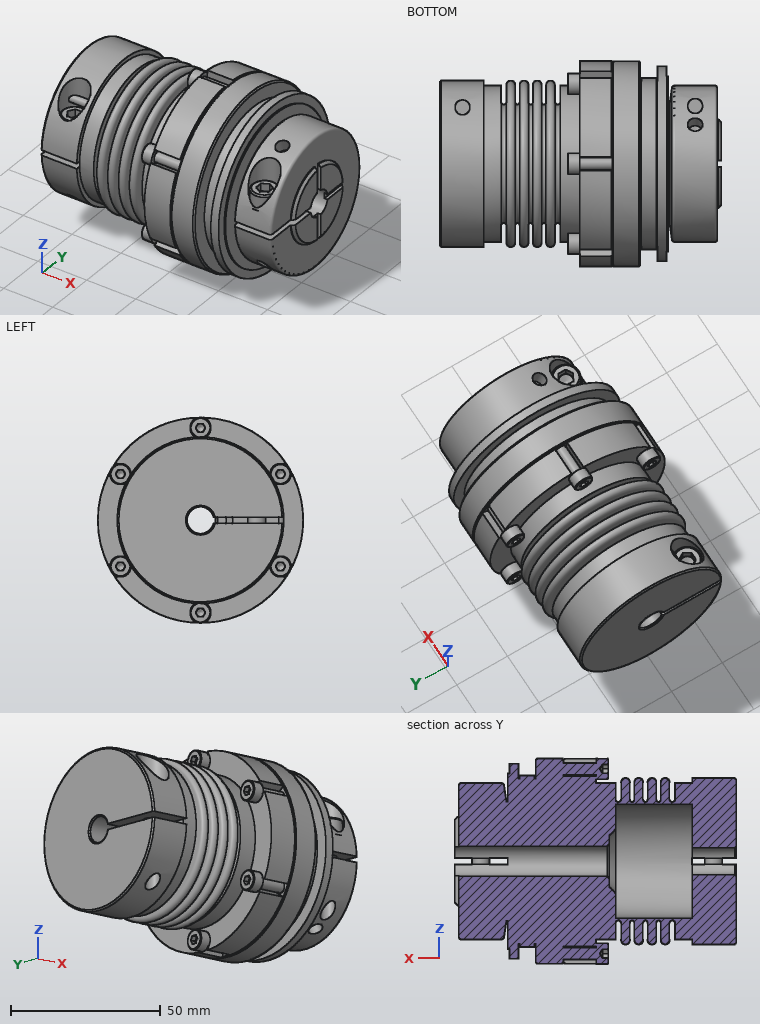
import cadquery as cq
import math


LENGTH = 94.5

LEFT_HUB_DIA = 55.9
LEFT_HUB_END = 14.8
LEFT_HUB_CHAMFER = 0.6
COLLAR_DIA = 52.6
LEFT_COLLAR_END = 20.6

CREST_COUNT = 4
CREST_PITCH = 4.4
CREST_WIDTH = 3.0
CREST_DIA = LEFT_HUB_DIA
ROOT_DIA = 39.9
BELLOWS_END = 40.4
BELLOWS_MIDDLE = (LEFT_COLLAR_END + BELLOWS_END) / 2

CLAMP_RING_START = 47.1
SEAM_START = 57.9
SEAM_WIDTH = 0.4
SEAM_DEPTH = 0.5
DISC_DIA = 69
DISC_END = 67.4
DISC_CHAMFER = 0.6
RING_CHAMFER = 0.4
SPACER_DIA = 57.6
SPACER_START = 67.7
SPACER_END = 72.7
GROOVE_DIA = 55.5
PLATE_DIA = 65.6
PLATE_START = 73.05
PLATE_END = 76.2
STEP_DIA = 59.0
STEP_END = 76.7

NECK_DIA = 40.3
NECK_END = 77.1
CONE_DIA = 50.65
RIGHT_HUB_DIA = COLLAR_DIA
RIGHT_HUB_START = 77.9
RIGHT_HUB_END = 93.2
RIGHT_HUB_ROUND = 1.0
BOSS_DIA = 30.0
BOSS_CHAMFER = 1.0

BORE_DIA = 10.0
LEFT_BORE_DIA = 9.0
LEFT_BORE_CHAMFER = 0.5
CAVITY_DIA = 38.2
RECESS_DIA = 21.5
RECESS_FLOOR_DIA = 17.2
BORE_CHAMFER = 0.8
SLIT_WIDTH = 2.1

RING_SCREW_COUNT = 6
RING_SCREW_CIRCLE = 62.0
RING_SHANK_DIA = 4.0
RING_HEAD_DIA = 7.0
RING_HEAD_HEIGHT = 4.2
RING_HEAD_CHAMFER = 0.3
RING_SOCKET_CORNERS = 3.3
RING_SOCKET_DEPTH = 2.0
RING_SLOT_WIDTH = 4.7

HUB_SCREW_HEAD_DIA = 10.0
HUB_SCREW_HEAD_HEIGHT = 6.0
HUB_SCREW_SHANK_DIA = 6.0
HUB_SCREW_TIP = -9.45
HUB_HEAD_CHAMFER = 0.6
HUB_SOCKET_FLATS = 5.0
HUB_SOCKET_DEPTH = 3.0
COUNTERBORE_DIA = 11.0
THREAD_HOLE_DIA = 5.0
LEFT_SCREW = (7.7, -18.9)
LEFT_HEAD_TOP = 13.4
LEFT_SCREW_TURN = 0
RIGHT_SCREW = (85.7, -19.4)
RIGHT_HEAD_TOP = 13.6
RIGHT_SCREW_TURN = 90

PIN_DIA = 3.0
PIN_Y = -14.4
PIN_Z = 15.8

RADIAL_HOLE_DIA = 5.0
RADIAL_HOLE_DEPTH = 5.2
RADIAL_HOLE_ANGLES = (70, -60)
DRILL_POINT_ANGLE = 118


def drill_point_height(diameter):
    return diameter / 2 / math.tan(math.radians(DRILL_POINT_ANGLE / 2))


def drilled_bar(diameter, depth):
    """Round cutter along -Z from the origin, with a drill point at its end."""
    tip = depth + drill_point_height(diameter)
    outline = cq.Workplane("XZ").lineTo(diameter / 2, 0).lineTo(diameter / 2, -depth).lineTo(0, -tip).close()
    return outline.revolve(360, (0, 0, 0), (0, 1, 0))


def hex_socket(corner_dia, depth):
    """Hexagonal cutter along -Z from the origin, with a conical floor."""
    flats = corner_dia * math.cos(math.pi / 6)
    hexagon = cq.Workplane("XY").polygon(6, corner_dia).extrude(-depth)
    return hexagon.union(drilled_bar(flats, depth))


def cap_screw_head(diameter, height, chamfer, socket_corners, socket_depth):
    """Socket head standing below the origin, with its top at Z = 0."""
    head = cq.Workplane("XY").circle(diameter / 2).extrude(-height).faces(">Z").chamfer(chamfer)
    return head.cut(hex_socket(socket_corners, socket_depth))


def x_cylinder(start, end, diameter):
    return cq.Workplane("YZ", origin=(start, 0, 0)).circle(diameter / 2).extrude(end - start)


def left_hub():
    hub = x_cylinder(0, LEFT_HUB_END, LEFT_HUB_DIA).faces("<X").chamfer(LEFT_HUB_CHAMFER)
    return hub.union(x_cylinder(LEFT_HUB_END, LEFT_COLLAR_END, COLLAR_DIA))


def bellows():
    """Rounded crests joined by rounded roots."""
    crest_radius = CREST_WIDTH / 2
    root_radius = (CREST_PITCH - CREST_WIDTH) / 2
    crest_top = CREST_DIA / 2
    crest_side = crest_top - crest_radius
    root_bottom = ROOT_DIA / 2
    root_side = root_bottom + root_radius
    first_crest = BELLOWS_MIDDLE - CREST_PITCH * (CREST_COUNT - 1) / 2

    outline = cq.Workplane("XY").moveTo(LEFT_COLLAR_END, 0).lineTo(LEFT_COLLAR_END, root_side)
    root_start = LEFT_COLLAR_END
    for index in range(CREST_COUNT):
        crest = first_crest + index * CREST_PITCH
        left = crest - crest_radius
        right = crest + crest_radius
        root_middle = (root_start + left) / 2
        outline = outline.threePointArc((root_middle, root_bottom), (left, root_side))
        outline = outline.lineTo(left, crest_side)
        outline = outline.threePointArc((crest, crest_top), (right, crest_side)).lineTo(right, root_side)
        root_start = right
    root_middle = (root_start + BELLOWS_END) / 2
    outline = outline.threePointArc((root_middle, root_bottom), (BELLOWS_END, root_side))
    return outline.lineTo(BELLOWS_END, 0).close().revolve(360, (0, 0, 0), (1, 0, 0))


def flange_stack():
    seam_end = SEAM_START + SEAM_WIDTH
    stack = x_cylinder(BELLOWS_END, CLAMP_RING_START, COLLAR_DIA)
    stack = stack.union(x_cylinder(CLAMP_RING_START, SEAM_START, DISC_DIA).faces(">X").chamfer(RING_CHAMFER))
    stack = stack.union(x_cylinder(SEAM_START, seam_end, DISC_DIA - 2 * SEAM_DEPTH))
    stack = stack.union(x_cylinder(seam_end, DISC_END, DISC_DIA).faces(">X").chamfer(DISC_CHAMFER))
    stack = stack.union(x_cylinder(DISC_END, PLATE_START, GROOVE_DIA))
    stack = stack.union(x_cylinder(SPACER_START, SPACER_END, SPACER_DIA))
    stack = stack.union(x_cylinder(PLATE_START, PLATE_END, PLATE_DIA))
    return stack.union(x_cylinder(PLATE_END, STEP_END, STEP_DIA))


def right_hub():
    hub = x_cylinder(RIGHT_HUB_START, RIGHT_HUB_END, RIGHT_HUB_DIA).edges().fillet(RIGHT_HUB_ROUND)
    cone = (
        cq.Workplane("XY").moveTo(STEP_END, 0).lineTo(STEP_END, NECK_DIA / 2).lineTo(NECK_END, NECK_DIA / 2)
        .lineTo(RIGHT_HUB_START, CONE_DIA / 2).lineTo(RIGHT_HUB_START, 0).close()
        .revolve(360, (0, 0, 0), (1, 0, 0))
    )
    boss = x_cylinder(RIGHT_HUB_END, LENGTH, BOSS_DIA).faces(">X").chamfer(BOSS_CHAMFER)
    return hub.union(cone).union(boss)


def inner_space():
    """Bores through everything, the cavity inside the bellows and the tapered recess behind it."""
    recess_floor = BELLOWS_END + (RECESS_DIA - RECESS_FLOOR_DIA) / 2
    bore_radius = BORE_DIA / 2
    left_radius = LEFT_BORE_DIA / 2
    outline = (
        cq.Workplane("XY").lineTo(0, left_radius + LEFT_BORE_CHAMFER)
        .lineTo(LEFT_BORE_CHAMFER, left_radius).lineTo(LEFT_HUB_END, left_radius)
        .lineTo(LEFT_HUB_END, CAVITY_DIA / 2).lineTo(BELLOWS_END, CAVITY_DIA / 2)
        .lineTo(BELLOWS_END, RECESS_DIA / 2).lineTo(recess_floor, RECESS_FLOOR_DIA / 2)
        .lineTo(recess_floor, bore_radius + BORE_CHAMFER).lineTo(recess_floor + BORE_CHAMFER, bore_radius)
        .lineTo(LENGTH, bore_radius).lineTo(LENGTH, 0).close()
    )
    return outline.revolve(360, (0, 0, 0), (1, 0, 0))


def slit(start, end):
    """Clamping slit from the bore out through the -Y side."""
    return cq.Workplane("XY").box(
        end - start, DISC_DIA / 2, SLIT_WIDTH, centered=(False, False, True)
    ).translate((start, -DISC_DIA / 2, 0))


def boss_cross_slots():
    """Two crossed slots that split the boss into quarters."""
    slot = cq.Workplane("XY").box(
        LENGTH - RIGHT_HUB_END, BOSS_DIA, SLIT_WIDTH, centered=(False, True, True)
    ).translate((RIGHT_HUB_END, 0, 0))
    return slot.union(slot.rotate((0, 0, 0), (1, 0, 0), 90))


def ring_angles():
    return [90 + 360 / RING_SCREW_COUNT * index for index in range(RING_SCREW_COUNT)]


def ring_slot():
    """Round-bottomed slot through the clamp ring, open outwards towards +Y."""
    length = SEAM_START - CLAMP_RING_START
    middle = RING_SCREW_CIRCLE / 2
    bottom = x_cylinder(CLAMP_RING_START, SEAM_START, RING_SLOT_WIDTH).translate((0, middle, 0))
    opening = cq.Workplane("XY").box(
        length, RING_SLOT_WIDTH, RING_SLOT_WIDTH, centered=(False, False, True)
    ).translate((CLAMP_RING_START, middle, 0))
    return bottom.union(opening)


def ring_screw():
    """Cap screw whose head rests on the clamp ring, on the +Y side."""
    head_top = CLAMP_RING_START - RING_HEAD_HEIGHT
    head = cap_screw_head(
        RING_HEAD_DIA, RING_HEAD_HEIGHT, RING_HEAD_CHAMFER, RING_SOCKET_CORNERS, RING_SOCKET_DEPTH)
    head = head.rotate((0, 0, 0), (0, 1, 0), -90).translate((head_top, 0, 0))
    shank = x_cylinder(CLAMP_RING_START, SEAM_START + SEAM_WIDTH, RING_SHANK_DIA)
    return head.union(shank).translate((0, RING_SCREW_CIRCLE / 2, 0))


def clamp_screw_holes(position, head_top):
    """Counterbore from above and threaded hole from below for one hub clamping screw."""
    seat = head_top - HUB_SCREW_HEAD_HEIGHT
    counterbore = cq.Workplane("XY").circle(COUNTERBORE_DIA / 2).extrude(LEFT_HUB_DIA / 2)
    counterbore = counterbore.translate((0, 0, seat))
    thread = cq.Workplane("XY").circle(THREAD_HOLE_DIA / 2).extrude(-LEFT_HUB_DIA / 2)
    thread = thread.translate((0, 0, HUB_SCREW_TIP))
    return counterbore.union(thread).translate((*position, 0))


def clamp_screw(position, head_top, turn):
    socket_corners = HUB_SOCKET_FLATS / math.cos(math.pi / 6)
    head = cap_screw_head(
        HUB_SCREW_HEAD_DIA, HUB_SCREW_HEAD_HEIGHT, HUB_HEAD_CHAMFER, socket_corners, HUB_SOCKET_DEPTH)
    seat = head_top - HUB_SCREW_HEAD_HEIGHT
    shank = cq.Workplane("XY").circle(HUB_SCREW_SHANK_DIA / 2).extrude(seat - HUB_SCREW_TIP)
    head = head.rotate((0, 0, 0), (0, 0, 1), turn).translate((0, 0, head_top))
    screw = head.union(shank.translate((0, 0, HUB_SCREW_TIP)))
    return screw.translate((*position, 0))


def captive_pin():
    reach = COUNTERBORE_DIA / 2
    return x_cylinder(LEFT_SCREW[0] - reach, LEFT_SCREW[0] + reach, PIN_DIA).translate((0, PIN_Y, PIN_Z))


def radial_hole(angle):
    hole = drilled_bar(RADIAL_HOLE_DIA, RADIAL_HOLE_DEPTH).translate((0, 0, RIGHT_HUB_DIA / 2))
    return hole.rotate((0, 0, 0), (1, 0, 0), 90 - angle).translate((RIGHT_SCREW[0], 0, 0))


result = left_hub().union(bellows()).union(flange_stack()).union(right_hub())
result = result.cut(inner_space())

result = result.cut(slit(0, LEFT_HUB_END)).cut(slit(STEP_END, RIGHT_HUB_END)).cut(boss_cross_slots())

for angle in ring_angles():
    result = result.cut(ring_slot().rotate((0, 0, 0), (1, 0, 0), angle))
    result = result.union(ring_screw().rotate((0, 0, 0), (1, 0, 0), angle))

hub_screws = (
    (LEFT_SCREW, LEFT_HEAD_TOP, LEFT_SCREW_TURN),
    (RIGHT_SCREW, RIGHT_HEAD_TOP, RIGHT_SCREW_TURN),
)
for position, head_top, turn in hub_screws:
    result = result.cut(clamp_screw_holes(position, head_top))
    result = result.union(clamp_screw(position, head_top, turn))
result = result.union(captive_pin())

for angle in RADIAL_HOLE_ANGLES:
    result = result.cut(radial_hole(angle))